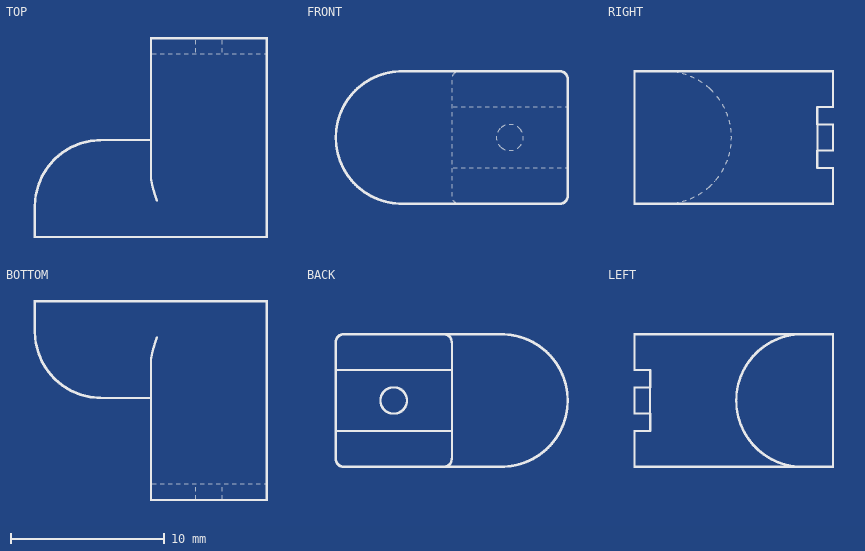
import cadquery as cq
import math

length = 15.17
depth = 13.0
height = 8.68

foot_radius = height / 2
foot_plate = 2.0

block_width = 7.58
edge_radius = 0.53

slot_height = 3.96
slot_depth = 1.03
pin_diameter = 1.73

right_x = length - foot_radius
block_left_x = right_x - block_width
block_center_x = right_x - block_width / 2
slot_floor_y = depth - slot_depth
half_turn = 180


def make_block():
    """Full-depth block with its four long edges rounded."""
    return (
        cq.Workplane("XY")
        .box(block_width, depth, height, centered=(True, False, True))
        .edges("|Y")
        .fillet(edge_radius)
        .translate((block_center_x, 0, 0))
    )


def make_foot_bar():
    """Straight part of the foot with a half-round back, reaching inside the block."""
    reach = block_left_x + edge_radius
    return (
        cq.Workplane("YZ")
        .moveTo(0, -foot_radius)
        .lineTo(foot_plate, -foot_radius)
        .threePointArc((foot_plate + foot_radius, 0), (foot_plate, foot_radius))
        .lineTo(0, foot_radius)
        .close()
        .extrude(reach)
    )


def make_foot_end():
    """Round end of the foot: a half cylinder that closes in a quarter sphere."""
    diagonal = foot_radius * math.sqrt(0.5)
    return (
        cq.Workplane("YZ")
        .lineTo(foot_plate + foot_radius, 0)
        .threePointArc((foot_plate + diagonal, -diagonal), (foot_plate, -foot_radius))
        .lineTo(0, -foot_radius)
        .close()
        .revolve(half_turn, (0, 0, 0), (1, 0, 0))
    )


def make_slot():
    """Slot through the whole block width, open at the rear end."""
    return (
        cq.Workplane("XY")
        .box(block_width, slot_depth, slot_height, centered=(True, False, True))
        .translate((block_center_x, slot_floor_y, 0))
    )


def make_pin():
    """Round pin in the middle of the slot, flush with the rear end."""
    return (
        cq.Workplane("XZ", origin=(block_center_x, slot_floor_y, 0))
        .circle(pin_diameter / 2)
        .extrude(-slot_depth)
    )


foot = make_foot_bar().union(make_foot_end())
result = make_block().union(foot).cut(make_slot()).union(make_pin())